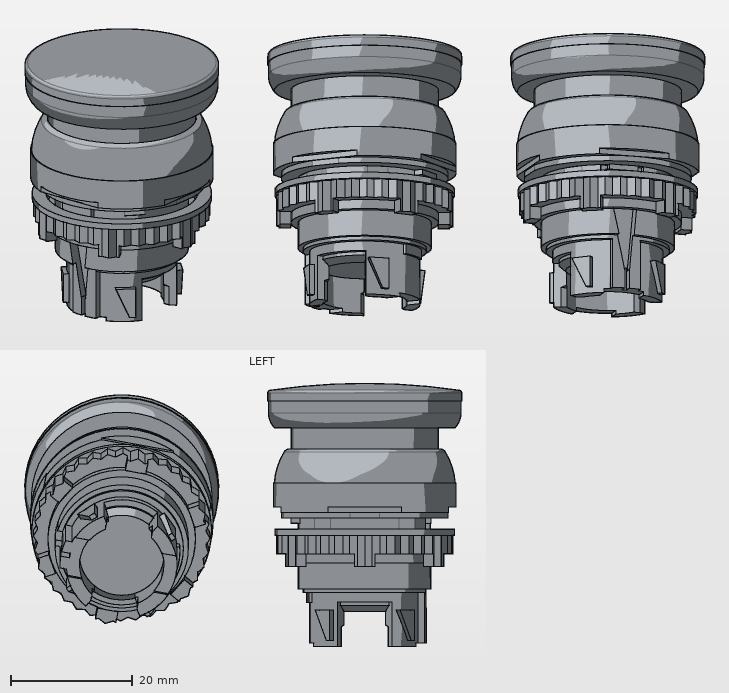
import cadquery as cq
import math

LEG_STEP_Z = 0.6
BORE_CONE_Z = 5.77
BORE_CONE_TOP_Z = 6.75
LEG_WINDOW_Z = 7.35
STEP_BOTTOM_Z = 8.9
TUBE_BOTTOM_Z = 9.5
NUT_TAB_Z = 13.2
NUT_SKIRT_Z = 13.75
NUT_TEETH_Z = 15.28
NUT_FLANGE_Z = 18.35
NUT_TOP_Z = 19.35
LUG_Z = 20.3
GASKET_BOTTOM_Z = 21.2
BEZEL_BOTTOM_Z = 22.1
BEZEL_FLAT_TOP_Z = 23.0
BEZEL_TOP_Z = 27.0
DOME_SHOULDER_Z = 32.1
DOME_TOP_Z = 32.6
CAP_BOTTOM_Z = 36.05
CAP_CURVE_Z = 38.55
CAP_STEP_Z = 40.45
CAP_EDGE_Z = 41.8
CAP_RIM_Z = 42.25
CAP_TOP_Z = 43.4

PLUNGER_R = 8.07
BORE_R = 6.95
LEG_R = 9.1
STEP_R = 10.15
TUBE_R = 11.0
BEZEL_R = 15.05
GASKET_R = 13.75
NECK_R = 12.15
NECK_HOLE_R = 12.3
DOME_R = 14.95
DOME_SHOULDER_R = 13.3
CAP_DIAMETER = 32.0
CAP_R = CAP_DIAMETER / 2
CAP_LOWER_R = 15.9
CAP_RIM_R = 15.55
CAP_BOTTOM_R = 14.9

CAP_LOWER_MID = (15.62, 37.2)
CAP_EDGE_MID = (15.9, 42.1)
DOME_SIDE_MID = (14.4, 29.65)
DOME_SHOULDER_MID = (12.9, 32.45)

BEZEL_FLAT = 13.8
GASKET_FLAT = 13.55
TUBE_FLAT = 10.85
TUBE_FLAT_ANGLE = 40

NUT_FLANGE_R = 14.8
NUT_SKIRT_R = 12.15
NUT_RECESS_R = 12.55
NUT_RECESS_Z = 16.93
TOOTH_TIP_R = 14.55
TOOTH_ROOT_R = 13.95
TOOTH_COUNT = 36
TAB_COUNT = 6
TAB_WIDTH = 3.45

WINDOW_OUTER_HALF = 4.5
WINDOW_INNER_HALF = 3.4
WINDOW_SLOT_HALF = 3.85
WINDOW_SLOT_Z = 3.25
WINDOW_SLOT_CHAMFER_Z = 3.6
LEG_STEP_WIDTH = 6.85

RIB_WIDTH = 4.8
GROOVE_FLOOR = 8.9
GROOVE_TIP_Z = 3.78
GROOVE_TOP_LEFT = 3.47
GROOVE_TOP_RIGHT = 1.82
GROOVE_TIP_HALF = 0.45
SLIT_WIDTH = 0.8
SLIT_FLOOR = 8.7
SLIT_TOP_Z = 4.3

KEY_R = 9.6
KEY_WIDTH = 5.4
KEY_BOTTOM_Z = 7.25
LUG_REACH = 12.15
LUG_WIDTH = 4.95

POCKET_LEFT = -4.5
POCKET_RIGHT = 2.65
POCKET_FLOOR = 9.75

LATCH_LOWER = (-3.8, 2.15, 10.8)
LATCH_UPPER = (-3.3, 1.65, 10.95)

HOOK_REACH = 9.9
HOOK_ROOT = 8.25
HOOK_TOP_Z = 6.05
HOOK_BOTTOM_Z = 1.0
HOOK_TOP_WIDTH = 3.35
HOOK_BOTTOM_LEFT_PAIR = 0.75
HOOK_BOTTOM_RIGHT_PAIR = 1.1
HOOK_EDGE_LEFT_PAIR = 1.7
HOOK_EDGE_RIGHT_PAIR = 1.25

MARGIN = 2.15


def cylinder(radius, bottom, top):
    return cq.Workplane("XY").workplane(offset=bottom).circle(radius).extrude(top - bottom)


def ring(outer, inner, bottom, top):
    return cylinder(outer, bottom, top).cut(cylinder(inner, bottom, top))


def block(x0, x1, y0, y1, z0, z1):
    return cq.Workplane("XY").box(x1 - x0, y1 - y0, z1 - z0, centered=False).translate((x0, y0, z0))


def turned(profile):
    return profile.close().revolve(360, (0, 0, 0), (0, 1, 0))


def flat_cutter(distance, angle, bottom, top):
    """Block that trims everything beyond a flat at the given distance from the axis."""
    width = 2 * BEZEL_R
    cutter = block(distance, distance + BEZEL_R, -width / 2, width / 2, bottom, top)
    return cutter.rotate((0, 0, 0), (0, 0, 1), angle)


def make_cap():
    dome_radius = (CAP_RIM_R**2 + (CAP_TOP_Z - CAP_RIM_Z) ** 2) / (2 * (CAP_TOP_Z - CAP_RIM_Z))
    half_rim = CAP_RIM_R / 2
    dome_mid_z = CAP_TOP_Z - dome_radius + math.sqrt(dome_radius**2 - half_rim**2)
    return turned(
        cq.Workplane("XZ")
        .moveTo(0, CAP_BOTTOM_Z)
        .lineTo(CAP_BOTTOM_R, CAP_BOTTOM_Z)
        .threePointArc(CAP_LOWER_MID, (CAP_LOWER_R, CAP_CURVE_Z))
        .lineTo(CAP_LOWER_R, CAP_STEP_Z)
        .lineTo(CAP_R, CAP_STEP_Z)
        .lineTo(CAP_R, CAP_EDGE_Z)
        .threePointArc(CAP_EDGE_MID, (CAP_RIM_R, CAP_RIM_Z))
        .threePointArc((half_rim, dome_mid_z), (0, CAP_TOP_Z))
    )


def make_collar():
    """Domed ring on the bezel, with a narrow gap around the neck."""
    return turned(
        cq.Workplane("XZ")
        .moveTo(NECK_HOLE_R, BEZEL_TOP_Z)
        .lineTo(DOME_R, BEZEL_TOP_Z)
        .threePointArc(DOME_SIDE_MID, (DOME_SHOULDER_R, DOME_SHOULDER_Z))
        .threePointArc(DOME_SHOULDER_MID, (NECK_HOLE_R, DOME_TOP_Z))
    )


def make_plunger():
    """Neck under the cap, stepping down to the rod that runs through the housing."""
    return turned(
        cq.Workplane("XZ")
        .moveTo(0, BORE_CONE_Z)
        .lineTo(BORE_R, BORE_CONE_Z)
        .lineTo(PLUNGER_R, BORE_CONE_TOP_Z)
        .lineTo(PLUNGER_R, BEZEL_TOP_Z)
        .lineTo(NECK_R, BEZEL_TOP_Z)
        .lineTo(NECK_R, CAP_BOTTOM_Z)
        .lineTo(0, CAP_BOTTOM_Z)
    )


def make_gasket():
    gasket = ring(GASKET_R, TUBE_R, GASKET_BOTTOM_Z, BEZEL_BOTTOM_Z)
    for angle in (0, 180):
        gasket = gasket.cut(flat_cutter(GASKET_FLAT, angle, GASKET_BOTTOM_Z, BEZEL_BOTTOM_Z))
    return gasket


def make_nut():
    step = math.pi / TOOTH_COUNT
    outline = []
    for i in range(2 * TOOTH_COUNT):
        radius = TOOTH_ROOT_R if i % 2 else TOOTH_TIP_R
        outline.append((radius * math.cos(i * step), radius * math.sin(i * step)))
    toothed = cq.Workplane("XY").workplane(offset=NUT_TAB_Z).polyline(outline).close()
    toothed = toothed.extrude(NUT_FLANGE_Z - NUT_TAB_Z)

    nut = cylinder(NUT_FLANGE_R, NUT_FLANGE_Z, NUT_TOP_Z)
    nut = nut.union(cylinder(NUT_SKIRT_R, NUT_SKIRT_Z, NUT_FLANGE_Z))
    nut = nut.union(toothed.intersect(cylinder(NUT_FLANGE_R, NUT_TEETH_Z, NUT_FLANGE_Z)))
    half = TAB_WIDTH / 2
    for i in range(TAB_COUNT):
        slab = block(NUT_SKIRT_R, NUT_FLANGE_R, -half, half, NUT_TAB_Z, NUT_FLANGE_Z)
        slab = slab.rotate((0, 0, 0), (0, 0, 1), i * 360 / TAB_COUNT)
        nut = nut.union(toothed.intersect(slab))
    nut = nut.cut(cylinder(NUT_RECESS_R, NUT_RECESS_Z, NUT_TOP_Z))
    return nut.cut(cylinder(TUBE_R, NUT_TAB_Z, NUT_TOP_Z))


def leg_windows():
    """Opening between the legs, its sides converging through the wall on both X sides."""
    outer_x = math.sqrt(LEG_R**2 - WINDOW_OUTER_HALF**2)
    inner_x = math.sqrt(BORE_R**2 - WINDOW_INNER_HALF**2)
    flare = (WINDOW_OUTER_HALF - WINDOW_INNER_HALF) / (outer_x - inner_x)
    end_x = outer_x + MARGIN
    end_half = WINDOW_OUTER_HALF + flare * MARGIN
    plan = [
        (end_x, end_half),
        (inner_x, WINDOW_INNER_HALF),
        (-inner_x, WINDOW_INNER_HALF),
        (-end_x, end_half),
        (-end_x, -end_half),
        (-inner_x, -WINDOW_INNER_HALF),
        (inner_x, -WINDOW_INNER_HALF),
        (end_x, -end_half),
    ]
    windows = cq.Workplane("XY").polyline(plan).close().extrude(LEG_WINDOW_Z)
    slot = (
        cq.Workplane("YZ")
        .workplane(offset=-end_x)
        .polyline(
            [
                (-WINDOW_SLOT_HALF, 0),
                (WINDOW_SLOT_HALF, 0),
                (WINDOW_SLOT_HALF, WINDOW_SLOT_Z),
                (WINDOW_INNER_HALF, WINDOW_SLOT_CHAMFER_Z),
                (-WINDOW_INNER_HALF, WINDOW_SLOT_CHAMFER_Z),
                (-WINDOW_SLOT_HALF, WINDOW_SLOT_Z),
            ]
        )
        .close()
        .extrude(2 * end_x)
    )
    return windows.union(slot)


def front_groove():
    """Downward-pointing wedge in the front of the tube and rib, ending in a slit."""
    wedge = (
        cq.Workplane("XZ")
        .workplane(offset=GROOVE_FLOOR)
        .polyline(
            [
                (-GROOVE_TIP_HALF, GROOVE_TIP_Z),
                (GROOVE_TIP_HALF, GROOVE_TIP_Z),
                (GROOVE_TOP_RIGHT, NUT_FLANGE_Z),
                (-GROOVE_TOP_LEFT, NUT_FLANGE_Z),
            ]
        )
        .close()
        .extrude(MARGIN)
    )
    slit = block(-SLIT_WIDTH / 2, SLIT_WIDTH / 2, -TUBE_R, -SLIT_FLOOR, 0, SLIT_TOP_Z)
    return wedge.union(slit)


def hook(edge, bottom_width, turn):
    """Snap hook with one slanted side, built at the front and turned about Z."""
    body = (
        cq.Workplane("XZ")
        .workplane(offset=HOOK_ROOT)
        .polyline(
            [
                (edge - HOOK_TOP_WIDTH, HOOK_TOP_Z),
                (edge, HOOK_TOP_Z),
                (edge, HOOK_BOTTOM_Z),
                (edge - bottom_width, HOOK_BOTTOM_Z),
            ]
        )
        .close()
        .extrude(HOOK_REACH - HOOK_ROOT)
    )
    return body.rotate((0, 0, 0), (0, 0, 1), turn)


def latch_block(left, right, reach, bottom, top):
    return block(left, right, -reach, -POCKET_FLOOR, bottom, top)


def make_housing(plunger):
    housing = cylinder(BEZEL_R, BEZEL_BOTTOM_Z, BEZEL_TOP_Z)
    for angle in (0, 90, 180, 270):
        housing = housing.cut(flat_cutter(BEZEL_FLAT, angle, BEZEL_BOTTOM_Z, BEZEL_FLAT_TOP_Z))
    housing = housing.union(cylinder(TUBE_R, TUBE_BOTTOM_Z, BEZEL_BOTTOM_Z))
    housing = housing.union(cylinder(STEP_R, STEP_BOTTOM_Z, TUBE_BOTTOM_Z))
    housing = housing.union(cylinder(LEG_R, 0, STEP_BOTTOM_Z))

    half_rib = RIB_WIDTH / 2
    rib = cylinder(STEP_R, LEG_STEP_Z, STEP_BOTTOM_Z)
    housing = housing.union(rib.intersect(block(-half_rib, half_rib, -TUBE_R, 0, 0, TUBE_BOTTOM_Z)))
    half_key = KEY_WIDTH / 2
    key = cylinder(KEY_R, KEY_BOTTOM_Z, STEP_BOTTOM_Z)
    housing = housing.union(key.intersect(block(-half_key, half_key, 0, TUBE_R, 0, TUBE_BOTTOM_Z)))
    half_lug = LUG_WIDTH / 2
    housing = housing.union(block(-half_lug, half_lug, PLUNGER_R, LUG_REACH, LUG_Z, GASKET_BOTTOM_Z))

    for angle in (TUBE_FLAT_ANGLE, -TUBE_FLAT_ANGLE, 180 - TUBE_FLAT_ANGLE, 180 + TUBE_FLAT_ANGLE):
        housing = housing.cut(flat_cutter(TUBE_FLAT, angle, NUT_TOP_Z, GASKET_BOTTOM_Z))

    pocket = block(POCKET_LEFT, POCKET_RIGHT, -LUG_REACH, -POCKET_FLOOR, NUT_FLANGE_Z, GASKET_BOTTOM_Z)
    housing = housing.cut(pocket)
    housing = housing.union(latch_block(*LATCH_LOWER, NUT_FLANGE_Z, LUG_Z))
    housing = housing.union(latch_block(*LATCH_UPPER, LUG_Z, GASKET_BOTTOM_Z))
    housing = housing.cut(front_groove())

    for turn in (-45, -135):
        housing = housing.union(hook(HOOK_EDGE_LEFT_PAIR, HOOK_BOTTOM_LEFT_PAIR, turn))
    for turn in (45, 135):
        housing = housing.union(hook(HOOK_EDGE_RIGHT_PAIR, HOOK_BOTTOM_RIGHT_PAIR, turn))

    housing = housing.cut(cylinder(BORE_R, 0, BORE_CONE_Z))
    housing = housing.cut(plunger)
    housing = housing.cut(leg_windows())
    half_step = LEG_STEP_WIDTH / 2
    return housing.cut(block(-half_step, half_step, -TUBE_R, TUBE_R, 0, LEG_STEP_Z))


cap = make_cap()
collar = make_collar()
plunger = make_plunger()
housing = make_housing(plunger)
gasket = make_gasket()
nut = make_nut()

result = cq.Compound.makeCompound(
    [cap.val(), collar.val(), plunger.val(), housing.val(), gasket.val(), nut.val()]
)